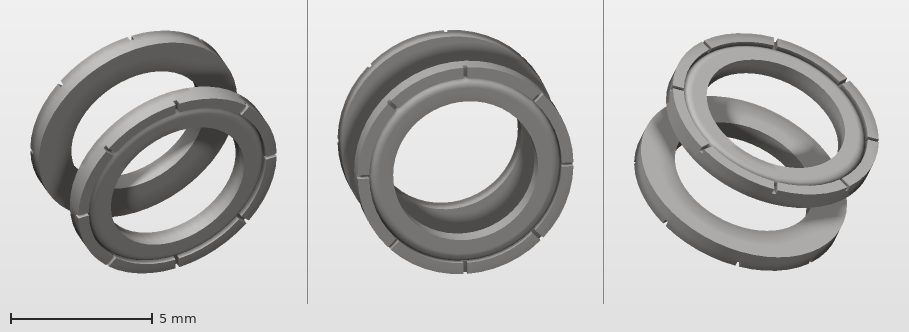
import cadquery as cq
import math

outer_diameter = 7.78
bore_diameter = 5.22
total_width = 4.0
ring_thickness = 0.71

groove_outer_diameter = 6.95
groove_inner_diameter = 6.255

slot_count = 8
slot_width = 0.14
slot_depth = 0.21
slot_overlap = 0.015

outer_radius = outer_diameter / 2
groove_outer_radius = groove_outer_diameter / 2
groove_inner_radius = groove_inner_diameter / 2
flank_radius = groove_outer_radius - groove_inner_radius


def make_groove():
    """Cutter for the groove in the face at X = 0; its flank meets the outer wall at the bottom."""
    arc_rise = flank_radius * math.sin(math.radians(45))
    arc_middle = (flank_radius - arc_rise, groove_inner_radius + arc_rise)
    return (
        cq.Workplane("XY")
        .moveTo(0, groove_inner_radius)
        .threePointArc(arc_middle, (flank_radius, groove_outer_radius))
        .lineTo(0, groove_outer_radius)
        .close()
        .revolve(360, (0, 0, 0), (1, 0, 0))
    )


def make_slot(angle):
    """Cutter for one radial slot, turned by angle about the X axis."""
    slot_start = groove_outer_radius - slot_overlap
    slot_length = outer_radius - slot_start + slot_width
    return (
        cq.Workplane("XY")
        .box(slot_depth, slot_width, slot_length, centered=(False, True, False))
        .translate((0, 0, slot_start))
        .rotate((0, 0, 0), (1, 0, 0), angle)
    )


def make_seal_ring():
    """Ring with its grooved face at X = 0 and its plain face at X = ring_thickness."""
    ring = (
        cq.Workplane("YZ")
        .circle(outer_radius)
        .circle(bore_diameter / 2)
        .extrude(ring_thickness)
    )
    ring = ring.cut(make_groove())
    for index in range(slot_count):
        ring = ring.cut(make_slot(index * 360 / slot_count))
    return ring


seal_rings = []
for turn in (0, 180):
    ring = make_seal_ring().translate((-total_width / 2, 0, 0))
    seal_rings.append(ring.rotate((0, 0, 0), (0, 0, 1), turn))

result = cq.Compound.makeCompound([ring.val() for ring in seal_rings])